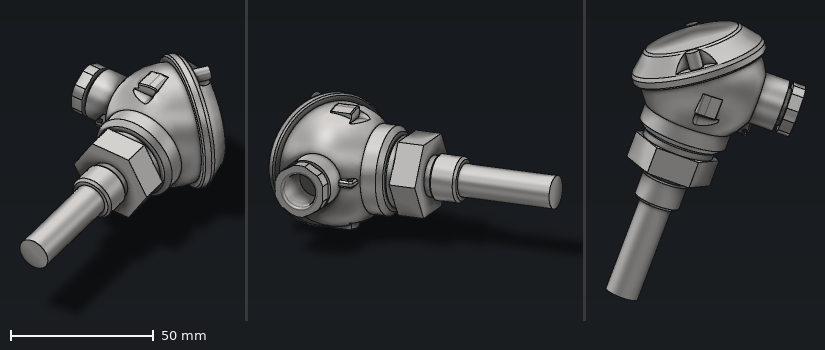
import cadquery as cq
import math


head_radius = 22.1

neck_diameter = 32.2
ring_diameter = 26.0
thread_core_diameter = 15.0
collar_diameter = 16.6
stem_diameter = 12.0
neck_bottom = -22.9
ring_bottom = -26.0
nut_bottom = -35.8
collar_top = -38.0
collar_bottom = -47.9
stem_bottom = -83.0
neck_chamfer = 1.9
ring_chamfer = 0.8
collar_top_chamfer = 0.6
collar_bottom_chamfer = 1.0
nut_across_flats = 27.0

gland_diameter = 19.0
gland_across_flats = 18.1
groove_diameter = 13.8
bore_diameter = 12.1
gland_end = -35.0
gland_nut_length = 4.5
groove_length = 1.6
bore_depth = 14.6

lid_tilt = 35
lid_radius = 24.2
lid_top_radius = 16.9
lid_cone_base_radius = 23.6
lid_cone_top_radius = 18.0
lid_base = 4.3
lid_hem = 0.6
lid_band_top = 7.3
lid_cone_base = 8.6
lid_cone_top = 14.6
lid_top = 15.3

screw_diameter = 5.0
screw_reach = 22.3
scallop_radius = 8.5
scallop_centre = 25.9
scallop_floor = 9.1

lug_left = -7.3
lug_ridge = -3.2
lug_right = 0.4
lug_left_height = 21.4
lug_height = 22.3
lug_root = 15.8
lug_length = 7.9
lug_edge_round = 1.1
lug_end_chamfer = 0.4
recess_floor = 18.2
recess_length = 6.3
recess_left = -8.7
recess_right = 0.0
recess_round = 1.7

eye_left = -21.8
eye_bottom = -14.5
eye_thickness = 2.6
eye_corner_radius = 1.4
eye_edge_chamfer = 0.7
eye_hole_diameter = 2.0
eye_hole_x = -20.2
eye_hole_y = -13.0


def cylinder_along_y(diameter, top, bottom):
    return cq.Workplane("XZ", origin=(0, top, 0)).circle(diameter / 2).extrude(top - bottom)


def cylinder_along_x(diameter, start, end):
    return cq.Workplane("YZ", origin=(start, 0, 0)).circle(diameter / 2).extrude(end - start)


def hexagon_diameter(across_flats):
    return across_flats / math.cos(math.pi / 6)


def both_sides(solid):
    return solid.union(solid.mirror("XY"))


def make_head():
    tilt = math.radians(lid_tilt)
    lid_axis = cq.Vector(math.sin(tilt), math.cos(tilt), 0)
    seat_latitude = math.degrees(math.asin(lid_base / head_radius))
    return cq.Workplane("XY").sphere(head_radius, direct=lid_axis, angle1=-90, angle2=seat_latitude)


def make_stem():
    neck = cylinder_along_y(neck_diameter, 0, neck_bottom).faces("<Y").chamfer(neck_chamfer)
    ring = cylinder_along_y(ring_diameter, neck_bottom, ring_bottom).faces(">Y").chamfer(ring_chamfer)
    nut = (
        cq.Workplane("XZ", origin=(0, ring_bottom, 0))
        .polygon(6, hexagon_diameter(nut_across_flats))
        .extrude(ring_bottom - nut_bottom)
    )
    core = cylinder_along_y(thread_core_diameter, nut_bottom, collar_top)
    collar = (
        cylinder_along_y(collar_diameter, collar_top, collar_bottom)
        .faces(">Y").chamfer(collar_top_chamfer)
        .faces("<Y").chamfer(collar_bottom_chamfer)
    )
    rod = cylinder_along_y(stem_diameter, collar_bottom, stem_bottom)
    return neck.union(ring).union(nut).union(core).union(collar).union(rod)


def make_gland():
    groove_start = gland_end + gland_nut_length
    boss_start = groove_start + groove_length
    hexagon = (
        cq.Workplane("YZ", origin=(gland_end, 0, 0))
        .polygon(6, hexagon_diameter(gland_across_flats))
        .extrude(gland_nut_length)
        .rotate((0, 0, 0), (1, 0, 0), 90)
    )
    nut = cylinder_along_x(gland_diameter, gland_end, groove_start).intersect(hexagon)
    groove = cylinder_along_x(groove_diameter, groove_start, boss_start)
    boss = cylinder_along_x(gland_diameter, boss_start, 0)
    return nut.union(groove).union(boss)


def cut_gland_bore(body):
    mouth_round = (groove_diameter - bore_diameter) / 2
    bore = cylinder_along_x(bore_diameter, gland_end, gland_end + bore_depth)
    mouth = cq.selectors.RadiusNthSelector(0)
    return body.cut(bore).faces("<X").edges("%CIRCLE").edges(mouth).fillet(mouth_round)


def make_lid():
    cone = (
        cq.Workplane("XY")
        .moveTo(0, lid_base)
        .lineTo(lid_radius - lid_hem, lid_base)
        .lineTo(lid_radius, lid_base + lid_hem)
        .lineTo(lid_radius, lid_band_top)
        .lineTo(lid_cone_base_radius, lid_cone_base)
        .lineTo(lid_cone_top_radius, lid_cone_top)
        .lineTo(lid_top_radius, lid_top)
        .lineTo(0, lid_top)
        .close()
        .revolve(360, (0, 0, 0), (0, 1, 0))
    )
    scallop = (
        cq.Workplane("XZ", origin=(0, lid_top, 0))
        .center(0, scallop_centre)
        .circle(scallop_radius)
        .extrude(lid_top - scallop_floor)
    )
    screw = (
        cq.Workplane("XZ", origin=(0, lid_top, 0))
        .center(0, screw_reach - screw_diameter / 2)
        .circle(screw_diameter / 2)
        .extrude(lid_top - lid_cone_base)
    )
    lid = cone.cut(both_sides(scallop)).union(both_sides(screw))
    return lid.rotate((0, 0, 0), (0, 0, 1), -lid_tilt)


def make_lug():
    lug = (
        cq.Workplane("XZ")
        .moveTo(lug_left, lug_root)
        .lineTo(lug_left, lug_left_height)
        .lineTo(lug_ridge, lug_height)
        .lineTo(lug_right, lug_height)
        .lineTo(lug_right, lug_root)
        .close()
        .extrude(lug_length)
    )
    lug = lug.edges("|Y").edges(">X and >Z").fillet(lug_edge_round)
    return lug.faces("<Y").edges("not(<Z or |Z)").chamfer(lug_end_chamfer)


def make_recess():
    height = lug_height - recess_floor
    return (
        cq.Workplane("XY", origin=(0, -lug_length, recess_floor))
        .moveTo(recess_left, 0)
        .lineTo(recess_right, 0)
        .lineTo(recess_right, -recess_length)
        .lineTo(recess_left, -recess_length)
        .close()
        .extrude(height)
        .edges("|Y and >X and <Z")
        .fillet(recess_round)
    )


def make_eye():
    eye = (
        cq.Workplane("XY", origin=(0, 0, -eye_thickness / 2))
        .moveTo(eye_left, 0)
        .lineTo(eye_left, eye_bottom)
        .lineTo(0, eye_bottom)
        .lineTo(0, 0)
        .close()
        .extrude(eye_thickness)
    )
    eye = eye.edges("|Z and <X and <Y").fillet(eye_corner_radius)
    eye = eye.faces("<Z or >Z").chamfer(eye_edge_chamfer)
    hole = (
        cq.Workplane("XY", origin=(eye_hole_x, eye_hole_y, -eye_thickness))
        .circle(eye_hole_diameter / 2)
        .extrude(2 * eye_thickness)
    )
    return eye.cut(hole)


head = make_head().cut(both_sides(make_recess())).union(both_sides(make_lug()))
solid_part = head.union(make_lid()).union(make_stem()).union(make_eye()).union(make_gland())
result = cut_gland_bore(solid_part)